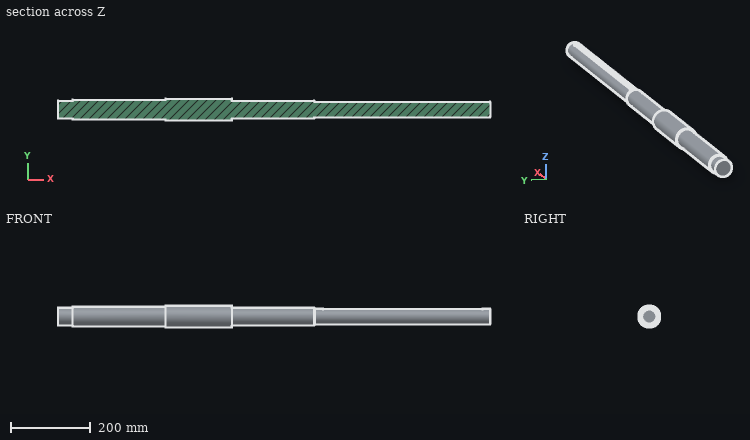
import cadquery as cq

total_length = 1084.0
stub_length = 37.0
stub_diameter = 45.0
front_length = 232.0
front_diameter = 50.0
collar_length = 167.0
collar_diameter = 55.0
neck_length = 208.0
neck_diameter = 45.0
keyed_diameter = 40.0
keyed_chamfer = 2.0

keyway_length = 400.0
keyway_width = 12.0
keyway_depth = 5.0

keyed_length = total_length - stub_length - front_length - collar_length - neck_length
keyed_start = total_length - keyed_length

neck_chamfer = (neck_diameter - keyed_diameter) / 2


def turned_section(start, length, diameter, end_chamfer):
    """Cylinder along X with a 45 degree chamfer on its +X end; zero leaves the edge sharp."""
    radius = diameter / 2
    end = start + length
    profile = cq.Workplane("XY").moveTo(start, 0).lineTo(start, -radius)
    profile = profile.lineTo(end - end_chamfer, -radius)
    if end_chamfer > 0:
        profile = profile.lineTo(end, end_chamfer - radius)
    profile = profile.lineTo(end, 0).close()
    return profile.revolve(360, (0, 0, 0), (1, 0, 0))


def stepped_shaft():
    """Turned sections placed end to end, from the stub to the keyed journal."""
    sections = [
        (stub_length, stub_diameter, 0.0),
        (front_length, front_diameter, 0.0),
        (collar_length, collar_diameter, 0.0),
        (neck_length, neck_diameter, neck_chamfer),
        (keyed_length, keyed_diameter, keyed_chamfer),
    ]
    shaft = cq.Workplane("XY")
    start = 0.0
    for length, diameter, end_chamfer in sections:
        shaft = shaft.union(turned_section(start, length, diameter, end_chamfer))
        start += length
    return shaft


def keyway():
    """Square-ended pocket in the top of the keyed journal."""
    return (
        cq.Workplane("XY")
        .workplane(offset=keyed_diameter / 2 - keyway_depth)
        .center(keyed_start + keyed_length / 2, 0)
        .rect(keyway_length, keyway_width)
        .extrude(keyway_depth)
    )


result = stepped_shaft().cut(keyway())